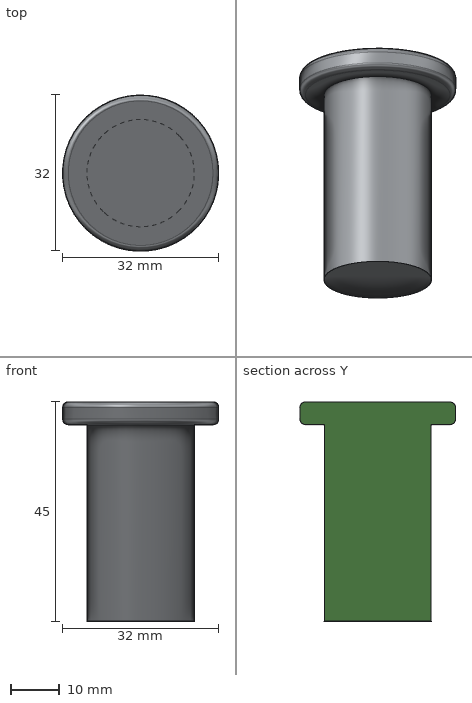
import cadquery as cq

total_length = 45.0
head_diameter = 32.0
head_thickness = 4.7
shank_diameter = 22.0
head_edge_radius = 1.175

shank_length = total_length - head_thickness


def make_shank():
    """Plain cylinder standing on the XY plane."""
    return cq.Workplane("XY").circle(shank_diameter / 2).extrude(shank_length)


def make_head():
    """Disc on top of the shank, with both rims rounded."""
    base = cq.Workplane("XY", origin=(0, 0, shank_length))
    disc = base.circle(head_diameter / 2).extrude(head_thickness)
    return disc.edges("%CIRCLE").fillet(head_edge_radius)


result = make_shank().union(make_head())